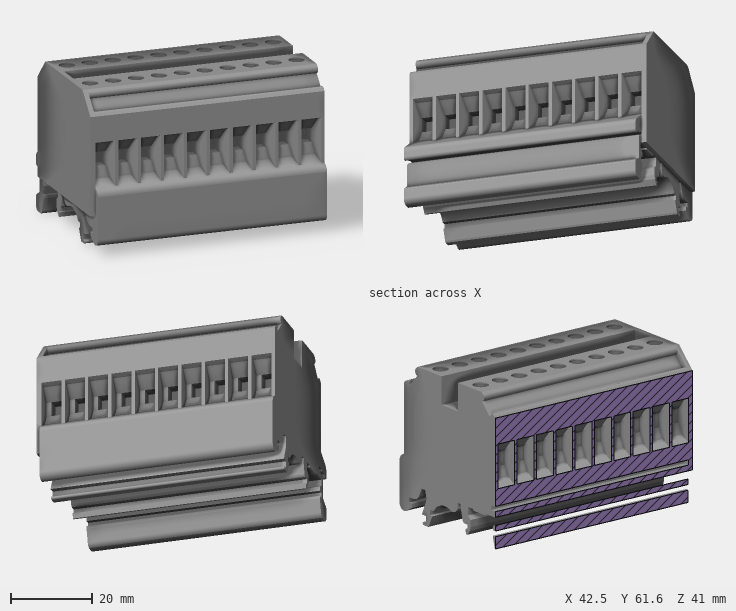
import cadquery as cq


total_length = 61.6
total_height = 41.0
plate_thickness = 1.3
block_count = 10
row_length = total_length - plate_thickness
pitch = row_length / block_count

half_width = 18.25
housing_bottom = 10.0
corner_chamfer = 5.5
ridge_chamfer = 0.7
shoulder_height = total_height - corner_chamfer

channel_width = 6.5
channel_depth = 7.4
channel_centre = -0.1

screw_diameter = 4.05
screw_recess_depth = 0.5
screw_spacing = 16.0

side_wall = 0.85
funnel_width = pitch - side_wall
funnel_bottom = 17.25
funnel_height = 11.6
funnel_depth = 4.05
funnel_back = funnel_depth - half_width
funnel_taper = 1.0
floor_lip_depth = 2.7
floor_lip_rise = 1.55
ceiling_lip_depth = 1.5
ceiling_lip_drop = 0.6
clamp_width = 2.95
clamp_height = 3.7
clamp_rise = 4.2
clamp_bottom = funnel_bottom + clamp_rise
clamp_depth = 3.1

foot_left = -22.55
foot_right = 19.95
fixed_foot_root = 11.1

slot_bottom = 11.6
slot_top = 12.8
slot_end = -16.65


def along_row(outline):
    """Extrude a closed XZ outline over the full length of the row (toward +Y)."""
    return outline.close().extrude(-row_length)


def section_at(x, z):
    """Start an outline at (x, z) in the XZ plane where the end plate meets the row."""
    return cq.Workplane("XZ").moveTo(x, z)


def mirrored(shape):
    """Copy a shape to the other side of the X = 0 plane."""
    return shape.mirror("YZ")


def half_housing():
    """Right half of the housing, with its marker ridge, groove and top lip."""
    outline = (
        section_at(0, housing_bottom)
        .lineTo(half_width, housing_bottom)
        .lineTo(half_width, shoulder_height)
        .lineTo(half_width - ridge_chamfer, shoulder_height + ridge_chamfer)
        .threePointArc((17.05, 36.4), (16.5, 36.3))
        .lineTo(16.25, 35.65)
        .lineTo(15.85, 35.65)
        .lineTo(12.9, 38.6)
        .threePointArc((13.75, 39.6), (13.5, 40.4))
        .lineTo(half_width - corner_chamfer, total_height)
        .lineTo(0, total_height)
    )
    return along_row(outline)


def end_plate():
    outline = (
        section_at(-half_width, housing_bottom)
        .lineTo(-half_width, shoulder_height)
        .lineTo(-half_width + corner_chamfer, total_height)
        .lineTo(half_width - corner_chamfer, total_height)
        .lineTo(half_width, shoulder_height)
        .lineTo(half_width, housing_bottom)
    )
    return outline.close().extrude(plate_thickness)


def latch_arm():
    """Hooked arm above the release slot on the -X side."""
    outline = (
        section_at(slot_end, funnel_bottom)
        .lineTo(-half_width, funnel_bottom)
        .lineTo(-21.45, 15.3)
        .threePointArc((-22.25, 14.55), (foot_left, 13.55))
        .lineTo(foot_left, 12.2)
        .threePointArc((-21.8, 11.45), (-21.05, 12.4))
        .lineTo(-19.05, 12.4)
        .lineTo(-18.7, slot_top)
        .lineTo(slot_end, slot_top)
    )
    return along_row(outline)


def release_foot():
    """Stem and lever below the release slot on the -X side."""
    outline = (
        section_at(slot_end, slot_bottom)
        .lineTo(-19.45, slot_bottom)
        .lineTo(-19.95, 10.95)
        .lineTo(-19.95, 5.35)
        .lineTo(-22.3, 4.05)
        .lineTo(foot_left, 3.65)
        .lineTo(foot_left, 1.5)
        .threePointArc((-22.2, 0.45), (-21.3, 0))
        .lineTo(-19.2, 0)
        .threePointArc((-18.6, 0.45), (-18.25, 1.2))
        .lineTo(-17.3, 4.45)
        .lineTo(-17.3, 5.1)
        .lineTo(-18.5, 5.1)
        .lineTo(-18.5, 6.45)
        .lineTo(-17.3, 6.45)
        .lineTo(-17.3, 7.6)
        .lineTo(-18.65, 8.4)
        .lineTo(-18.65, housing_bottom)
        .lineTo(slot_end, housing_bottom)
    )
    return along_row(outline)


def bottom_strip():
    outline = (
        section_at(-14.35, housing_bottom)
        .lineTo(-14.35, 9.55)
        .lineTo(-9.6, 9.55)
        .lineTo(-9.3, housing_bottom)
    )
    return along_row(outline)


def inner_rail_clip():
    """Small hook left of the middle."""
    outline = (
        section_at(-7.25, housing_bottom)
        .lineTo(-7.25, 7.75)
        .lineTo(-8.4, 6.85)
        .lineTo(-8.4, 5.0)
        .lineTo(-8.15, 4.0)
        .lineTo(-7.1, 2.7)
        .lineTo(-6.6, 2.7)
        .lineTo(-6.2, 4.0)
        .lineTo(-7.1, 4.0)
        .lineTo(-7.1, 5.35)
        .lineTo(-5.65, 5.35)
        .threePointArc((-5.3, 5.7), (-5.1, 6.35))
        .lineTo(-4.45, 8.95)
        .lineTo(-4.45, housing_bottom)
    )
    return along_row(outline)


def rail_arch():
    """Arched bridge ending in a double hook right of the middle."""
    outline = (
        section_at(-3.15, housing_bottom)
        .lineTo(-3.15, 8.4)
        .threePointArc((-1.8, 7.2), (-0.1, 7.4))
        .threePointArc((3.45, 7.6), (6.35, 5.35))
        .lineTo(7.75, 5.35)
        .lineTo(7.75, 4.0)
        .lineTo(6.9, 3.9)
        .lineTo(8.25, 1.1)
        .lineTo(8.55, 0.75)
        .lineTo(10.35, 0.75)
        .threePointArc((10.7, 1.2), (10.35, 1.6))
        .lineTo(9.4, 1.6)
        .lineTo(9.4, 3.3)
        .lineTo(11.1, 3.3)
        .lineTo(9.3, 7.3)
        .lineTo(9.3, 8.25)
        .lineTo(9.75, housing_bottom)
    )
    return along_row(outline)


def fixed_foot():
    """Fixed rail hook on the +X side."""
    outline = (
        section_at(fixed_foot_root, housing_bottom)
        .lineTo(12.2, 7.7)
        .threePointArc((13.1, 6.85), (14.5, 6.45))
        .lineTo(16.25, 6.45)
        .lineTo(16.25, 5.1)
        .lineTo(14.95, 5.1)
        .lineTo(14.95, 4.0)
        .lineTo(17.4, 2.65)
        .threePointArc((19.3, 2.85), (foot_right, 4.3))
        .lineTo(foot_right, 15.3)
        .threePointArc((19.65, 16.15), (18.9, 16.8))
        .lineTo(half_width, funnel_bottom)
        .lineTo(fixed_foot_root, funnel_bottom)
    )
    return along_row(outline)


def release_slot():
    height = slot_top - slot_bottom
    depth = half_width + slot_end
    return cq.Workplane("XY").box(depth, row_length, height, centered=False).translate(
        (-half_width, 0, slot_bottom)
    )


def marker_channel():
    corner = (channel_centre - channel_width / 2, 0, total_height - channel_depth)
    box = cq.Workplane("XY").box(channel_width, row_length, channel_depth, centered=False)
    return box.translate(corner)


def screw_recesses():
    centres = [
        (side * screw_spacing / 2, index * pitch + funnel_width / 2)
        for index in range(block_count)
        for side in (-1, 1)
    ]
    return (
        cq.Workplane("XY", origin=(0, 0, total_height))
        .pushPoints(centres)
        .circle(screw_diameter / 2)
        .extrude(-screw_recess_depth)
    )


def funnel_profile():
    """Funnel section on the -X side: two-step floor and two-step ceiling."""
    funnel_top = funnel_bottom + funnel_height
    return (
        section_at(-half_width, funnel_bottom)
        .lineTo(-half_width + floor_lip_depth, funnel_bottom + floor_lip_rise)
        .lineTo(funnel_back, clamp_bottom)
        .lineTo(funnel_back, clamp_bottom + clamp_height)
        .lineTo(-half_width + ceiling_lip_depth, funnel_top - ceiling_lip_drop)
        .lineTo(-half_width, funnel_top)
        .close()
        .extrude(-funnel_width)
    )


def wire_funnel():
    """Funnel open to the -Y face of its block, with its +Y wall drawn in toward the clamp."""
    plan = (
        cq.Workplane("XY")
        .moveTo(-half_width, 0)
        .lineTo(-half_width, funnel_width)
        .lineTo(funnel_back, funnel_width - funnel_taper)
        .lineTo(funnel_back, 0)
        .close()
        .extrude(total_height)
    )
    clamp = cq.Workplane("XY").box(clamp_depth, clamp_width, clamp_height, centered=False)
    clamp_y = funnel_width - funnel_taper - clamp_width
    clamp = clamp.translate((funnel_back, clamp_y, clamp_bottom))
    return funnel_profile().intersect(plan).union(clamp)


housing = half_housing()
result = housing.union(mirrored(housing)).cut(release_slot())
for piece in (
    latch_arm(),
    release_foot(),
    bottom_strip(),
    inner_rail_clip(),
    rail_arch(),
    fixed_foot(),
):
    result = result.union(piece)

result = result.cut(marker_channel()).cut(screw_recesses())

funnel = wire_funnel()
for index in range(block_count):
    left_funnel = funnel.translate((0, index * pitch, 0))
    result = result.cut(left_funnel).cut(mirrored(left_funnel))

result = result.union(end_plate())